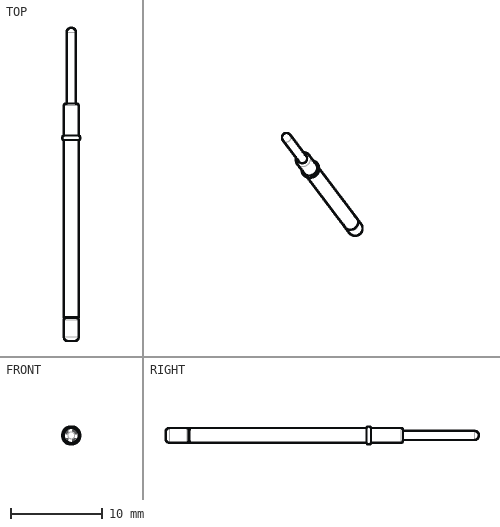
import cadquery as cq
import math

total_length = 34.3
barrel_radius = 0.82
barrel_length = 26.0
mouth_round = 0.25
plunger_radius = 0.5
collar_radius = 1.0
collar_width = 0.5
collar_front = 22.5
groove_width = 0.3
groove_round = 0.2
groove_front = 2.65
rear_round = 0.45

rear_y = -total_length / 2
tip_y = total_length / 2
mouth_y = rear_y + barrel_length
collar_front_y = rear_y + collar_front
collar_rear_y = collar_front_y - collar_width
groove_front_y = rear_y + groove_front
groove_rear_y = groove_front_y - groove_width
groove_radius = barrel_radius - groove_round


def arc_midpoint(radius, center_x, center_y, direction):
    """Point at 45 degrees on a rounded end facing along direction (+1 or -1) in Y."""
    offset = radius * math.sqrt(0.5)
    return (center_x + offset, center_y + direction * offset)


rear_mid = arc_midpoint(rear_round, barrel_radius - rear_round, rear_y + rear_round, -1)
groove_mid = arc_midpoint(groove_round, groove_radius, groove_rear_y, 1)
mouth_mid = arc_midpoint(mouth_round, barrel_radius - mouth_round, mouth_y - mouth_round, 1)
tip_mid = arc_midpoint(plunger_radius, 0, tip_y - plunger_radius, 1)
collar_mid = (collar_radius, (collar_rear_y + collar_front_y) / 2)

result = (
    cq.Workplane("XY")
    .moveTo(0, rear_y)
    .lineTo(barrel_radius - rear_round, rear_y)
    .threePointArc(rear_mid, (barrel_radius, rear_y + rear_round))
    .lineTo(barrel_radius, groove_rear_y)
    .threePointArc(groove_mid, (groove_radius, groove_rear_y + groove_round))
    .lineTo(groove_radius, groove_front_y)
    .lineTo(barrel_radius, groove_front_y)
    .lineTo(barrel_radius, collar_rear_y)
    .threePointArc(collar_mid, (barrel_radius, collar_front_y))
    .lineTo(barrel_radius, mouth_y - mouth_round)
    .threePointArc(mouth_mid, (barrel_radius - mouth_round, mouth_y))
    .lineTo(plunger_radius, mouth_y)
    .lineTo(plunger_radius, tip_y - plunger_radius)
    .threePointArc(tip_mid, (0, tip_y))
    .close()
    .revolve(360, (0, 0), (0, 1))
)